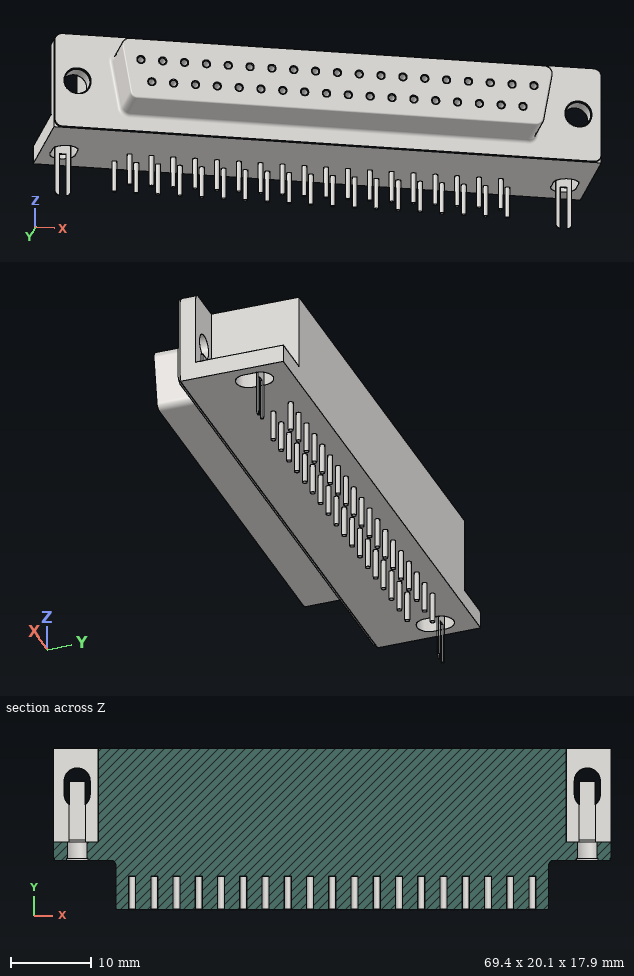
import cadquery as cq
import math


length = 69.4
total_depth = 20.1
total_height = 17.9
height = 12.4
depth = 14.0
corner_radius = 1.0
shell_thickness = 0.3
shell_inset = 0.1
flange_thickness = 2.35
ear_length = 5.55
foot_height = 2.35

shroud_width = 54.55
shroud_height = 7.9
shroud_drop = 0.105
shroud_reach = total_depth - depth
side_slope = math.radians(10)
shroud_corner = 1.0
flare_radius = 0.55
rim_radius = 0.24

long_row_count = 19
long_row_span = 49.8
row_spacing = 2.85
row_center_drop = 0.35
socket_diameter = 0.8
socket_depth = 4.15
socket_lead_in = 0.105
lead_in_angle = 45
tail_diameter = 0.64
tail_length = 3.95
tail_tip_length = 0.2
tail_tip_inset = 0.035
rear_tail_inset = 2.7

mount_spacing = 63.5
mount_hole_diameter = 3.2
sheet_hole_diameter = 3.4
slot_width = mount_hole_diameter
slot_length = 4.85
clip_width = 2.0
clip_sheet = 0.2
clip_leg_top = 4.6
clip_inset = 4.1
prong_length = total_height - height
prong_gap = 0.8
prong_corner = 0.55

mid_height = height / 2
contact_pitch = long_row_span / (long_row_count - 1)
clip_rear = depth - clip_inset


def box(x_range, y_range, z_range):
    """Box between two limits on each axis."""
    sizes = [high - low for low, high in (x_range, y_range, z_range)]
    corner = (x_range[0], y_range[0], z_range[0])
    return cq.Workplane("XY").box(*sizes, centered=False).translate(corner)


def make_housing():
    """Housing with a rounded top, a fully rounded front sheet and a low foot at each end."""
    half = length / 2
    body = box((-half, half), (shell_thickness, depth), (0, height))
    body = body.edges("|Y and >Z").fillet(corner_radius)
    edge = half - shell_inset
    shell = box((-edge, edge), (0, shell_thickness), (shell_inset, height - shell_inset))
    shell = shell.edges("|Y").fillet(corner_radius - shell_inset)
    body = body.union(shell)
    for side in (-1, 1):
        ear_x = sorted((side * half, side * (half - ear_length)))
        body = body.cut(box(ear_x, (flange_thickness, depth), (foot_height, height)))
    return body


def make_shroud():
    """D-shaped shroud, wider at the top, with a rounded rim at its tip."""
    corner_loss = shroud_corner * (1 / math.tan(math.pi / 4 - side_slope / 2) - 1)
    top_half = shroud_width / 2 + corner_loss
    bottom_half = top_half - shroud_height * math.tan(side_slope)
    low = mid_height - shroud_drop - shroud_height / 2
    high = low + shroud_height
    outline = [(-top_half, high), (top_half, high), (bottom_half, low), (-bottom_half, low)]
    shroud = cq.Workplane("XZ").polyline(outline).close().extrude(shroud_reach)
    shroud = shroud.edges("|Y").fillet(shroud_corner)
    return shroud.faces("<Y").edges().fillet(rim_radius)


def add_flare(body):
    """Round the inside corner where the shroud leaves the flange."""
    half_x = (length - ear_length) / 2
    half_y = shell_thickness / 2
    root = cq.selectors.BoxSelector(
        (-half_x, -half_y, corner_radius), (half_x, half_y, height - corner_radius)
    )
    return body.edges(root).fillet(flare_radius)


def contact_rows():
    """Height of the sockets, Y of the tails and X places, for each contact row."""
    middle = mid_height - row_center_drop
    rows = []
    for index, count in enumerate((long_row_count, long_row_count - 1)):
        row_z = middle + row_spacing * (0.5 - index)
        tail_y = depth - rear_tail_inset - index * row_spacing
        xs = [(i - (count - 1) / 2) * contact_pitch for i in range(count)]
        rows.append((row_z, tail_y, xs))
    return rows


def make_sockets():
    """Blind contact bores in the shroud's face, each with a small lead-in."""
    points = [(x, row_z) for row_z, _, xs in contact_rows() for x in xs]
    face = cq.Workplane("XZ", origin=(0, -shroud_reach, 0))
    bores = face.pushPoints(points).circle(socket_diameter / 2).extrude(-socket_depth)
    mouth_radius = socket_diameter / 2 + socket_lead_in
    mouths = face.pushPoints(points).circle(mouth_radius).extrude(-socket_lead_in, taper=lead_in_angle)
    return bores.union(mouths)


def make_tails():
    """Round solder tails below the housing with slightly tapered tips."""
    points = [(x, tail_y) for _, tail_y, xs in contact_rows() for x in xs]
    tails = cq.Workplane("XY").pushPoints(points).circle(tail_diameter / 2).extrude(-tail_length)
    return tails.faces("<Z").edges().chamfer(tail_tip_length, tail_tip_inset)


def make_mount_cut(x):
    """Screw hole through the flange, wider in the sheet, and slot through the foot at one end."""
    center = cq.Workplane("XZ").center(x, mid_height)
    hole = center.circle(mount_hole_diameter / 2).extrude(-flange_thickness)
    hole = hole.union(center.circle(sheet_hole_diameter / 2).extrude(-shell_thickness))
    slot_y = clip_rear + slot_width / 2 - slot_length / 2
    slot = cq.Workplane("XY").center(x, slot_y).slot2D(slot_length, slot_width, angle=90)
    return hole.union(slot.extrude(foot_height))


def make_clip(x):
    """Bent sheet clip: leg behind the flange, strip on the foot and forked prongs below it."""
    x_range = (x - clip_width / 2, x + clip_width / 2)
    strip_top = foot_height + clip_sheet
    leg = box(x_range, (flange_thickness, flange_thickness + clip_sheet), (foot_height, clip_leg_top))
    strip = box(x_range, (flange_thickness, clip_rear), (foot_height, strip_top))
    prongs = box(x_range, (clip_rear - clip_sheet, clip_rear), (-prong_length, strip_top))
    prongs = prongs.edges("|Y and <Z").fillet(prong_corner)
    gap = box(
        (x - prong_gap / 2, x + prong_gap / 2),
        (clip_rear - clip_sheet, clip_rear),
        (-prong_length, 0),
    )
    return leg.union(strip).union(prongs.cut(gap))


result = add_flare(make_housing().union(make_shroud()))
result = result.cut(make_sockets()).union(make_tails())
for mount_x in (-mount_spacing / 2, mount_spacing / 2):
    result = result.cut(make_mount_cut(mount_x)).union(make_clip(mount_x))